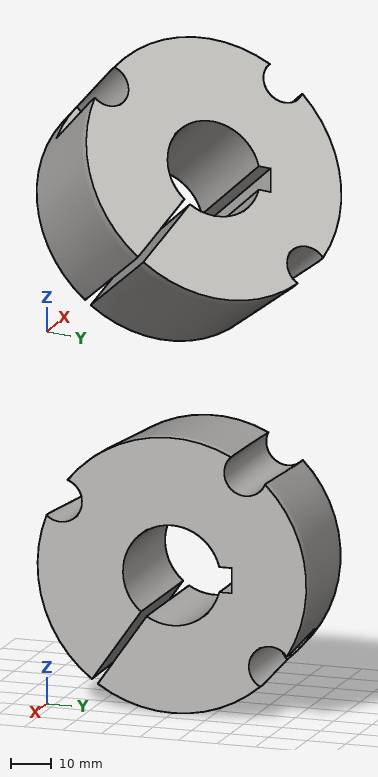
import cadquery as cq
import math

length = 31.75
rim_radius = 34.9
small_end_radius = 32.9
rim_length = 2.2
cone_length = length - rim_length

bore_radius = 12.7
keyway_width = 6.35
keyway_reach = 15.5

groove_radius = 5.5
groove_axis_radius = 33.3
blind_groove_start = 7.9
through_groove_angle = 55.0
blind_groove_spacing = 95.0

slit_width = 1.8
slit_angle = through_groove_angle + 180.0


def make_body():
    """Tapered barrel with a short cylindrical rim at its large end."""
    return (
        cq.Workplane("XY")
        .moveTo(0, 0)
        .lineTo(0, small_end_radius)
        .lineTo(cone_length, rim_radius)
        .lineTo(length, rim_radius)
        .lineTo(length, 0)
        .close()
        .revolve(360, (0, 0, 0), (1, 0, 0))
    )


def make_groove(angle, start):
    """Round cutter parallel to the axis, running from start to the large end."""
    y = groove_axis_radius * math.cos(math.radians(angle))
    z = groove_axis_radius * math.sin(math.radians(angle))
    return (
        cq.Workplane("YZ", origin=(start, 0, 0))
        .center(y, z)
        .circle(groove_radius)
        .extrude(length - start)
    )


def make_radial_slot(width, reach, angle):
    """Full-length rectangular cutter from the axis outward at the given angle."""
    return (
        cq.Workplane("XY")
        .box(length, reach, width, centered=(False, False, True))
        .rotate((0, 0, 0), (1, 0, 0), angle)
    )


bore = cq.Workplane("YZ").circle(bore_radius).extrude(length)
keyway = make_radial_slot(keyway_width, keyway_reach, 0)
slit_reach = rim_radius + slit_width
slit = make_radial_slot(slit_width, slit_reach, slit_angle)

result = make_body().cut(bore).cut(keyway).cut(slit)
result = result.cut(make_groove(through_groove_angle, 0))
for side in (-1, 1):
    blind_angle = through_groove_angle + side * blind_groove_spacing
    result = result.cut(make_groove(blind_angle, blind_groove_start))